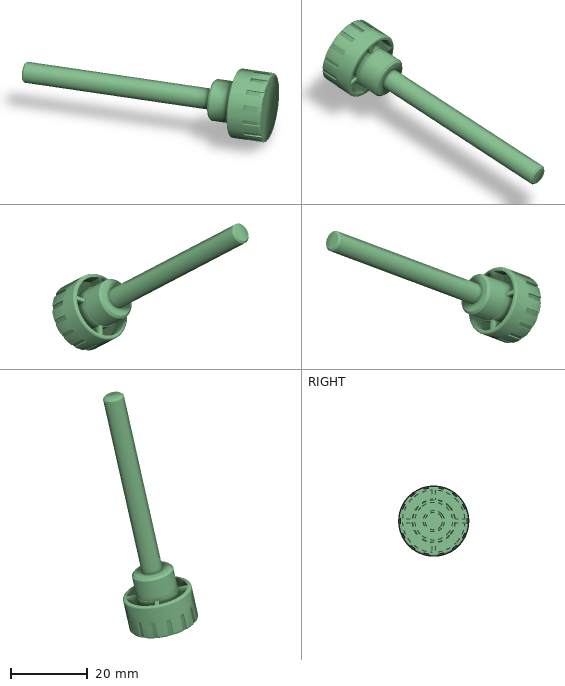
import cadquery as cq

total_length = 66.65
shaft_diameter = 5.5
shaft_chamfer = 0.5

collar_diameter = 11.0
collar_length = 6.4
collar_chamfer = 0.6

knob_diameter = 18.25
knob_length = 9.2
knob_fillet = 0.5

pocket_depth = 3.8
rim_thickness = 1.0
hub_step = 0.1
rib_thickness = 1.0

groove_count = 14
groove_length = 4.7
groove_width = 1.25
groove_depth = 0.45

knob_start = total_length - knob_length
collar_start = knob_start - collar_length
knob_radius = knob_diameter / 2
pocket_diameter = knob_diameter - 2 * rim_thickness
hub_diameter = collar_diameter + 2 * hub_step


def cylinder(start, length, diameter):
    """Solid cylinder on the X axis, beginning at x = start."""
    return cq.Workplane("YZ", origin=(start, 0, 0)).circle(diameter / 2).extrude(length)


def make_shaft():
    return cylinder(0, knob_start, shaft_diameter).faces("<X").chamfer(shaft_chamfer)


def make_collar():
    length = collar_length + pocket_depth
    return cylinder(collar_start, length, collar_diameter).faces("<X").chamfer(collar_chamfer)


def make_pocket():
    """Ring-shaped cutter with gaps that leave the hub and the ribs standing."""
    ring = cylinder(knob_start, pocket_depth, pocket_diameter).cut(
        cylinder(knob_start, pocket_depth, hub_diameter)
    )
    for width, height in ((knob_diameter, rib_thickness), (rib_thickness, knob_diameter)):
        rib = cq.Workplane("YZ", origin=(knob_start, 0, 0)).rect(width, height).extrude(pocket_depth)
        ring = ring.cut(rib)
    return ring


def make_grooves():
    """Flat-bottomed grip grooves, spaced evenly from one centred on -Y."""
    cutter = cq.Workplane("XY").box(
        groove_length, 2 * groove_depth, groove_width
    ).translate((total_length - groove_length / 2, -knob_radius, 0))
    grooves = cq.Workplane("XY")
    for index in range(groove_count):
        grooves = grooves.add(cutter.rotate((0, 0, 0), (1, 0, 0), index * 360 / groove_count))
    return grooves.combine()


def make_knob():
    knob = cylinder(knob_start, knob_length, knob_diameter)
    knob = knob.faces("<X or >X").fillet(knob_fillet)
    return knob.cut(make_pocket()).cut(make_grooves())


result = make_knob().union(make_collar()).union(make_shaft())